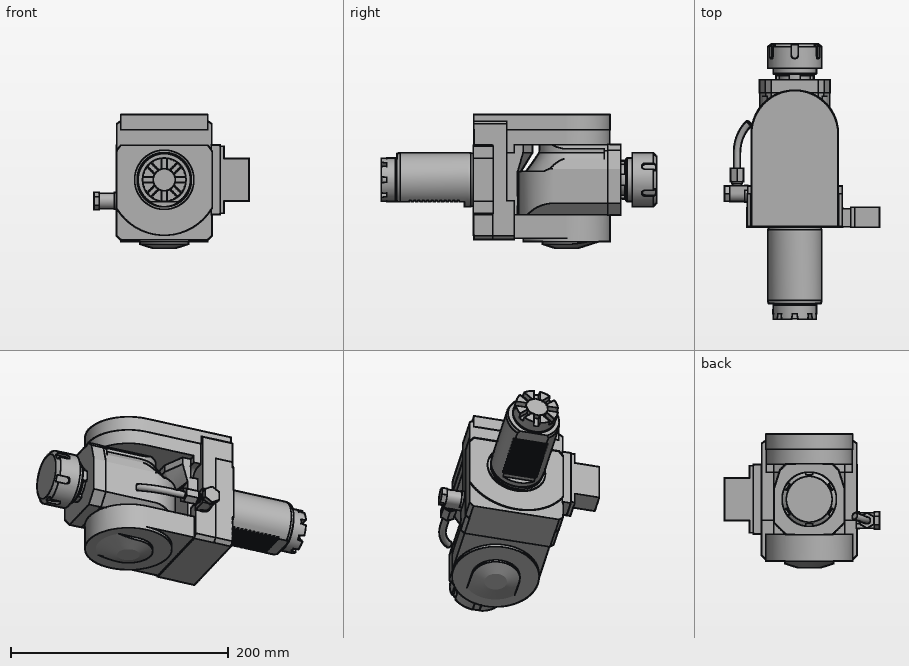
import cadquery as cq


shank_dia = 50.0
shank_root_dia = 48.7
shank_root_end = -2.0
shank_root_taper_end = -4.0
shank_taper_dia = 49.4
shank_end = -70.0
shank_chamfer = 1.0
shank_chamfer_length = 3.0
collar_end = -8.0
rack_flat_z = -20.3
rack_pitch = 4.0
rack_groove_count = 12
rack_first_groove = -13.6
rack_groove_depth = 1.2
rack_groove_width = 2.4
seal_groove_dia = 54.5
seal_groove_depth = 1.0
end_ring_dia = 40.0
end_neck_dia = 38.5
end_ring_start = -71.3
end_ring_end = -84.35
end_plug_dia = 20.3
end_plug_recess = 0.3
end_slot_count = 8
end_slot_mouth = 5.6
end_slot_floor = 4.4
end_slot_depth = 5.0

flange_half_width = 44.0
flange_bottom = -55.0
flange_top = 53.8
flange_chamfer = 3.6
flange_top_chamfer_height = 2.6
flange_depth = 31.0
front_plate_depth = 18.0
front_plate_top = 31.6
face_relief = 0.9
side_relief = 0.2
disc_radius = 51.0
rear_step_depth = 38.0
joint_overlap = 1.0

arm_width = 80.0
arm_inset = 0.3
arm_axis_y = 86.0
arm_gap_half = 32.0
cover_bottom = 46.0
cover_top = 60.0
cover_front = 0.5
cover_edge_chamfer = 0.4
lower_arm_bottom = -53.8
pivot_plate_bottom = -56.8
wall_depth = 41.0
knuckle_base_z = 7.5
knuckle_shoulder_z = 25.0
knuckle_half_width = 12.0
knuckle_middle_y = (44.0, 54.8)
knuckle_side_y = (41.0, 46.0)
wall_half_width = 32.4
side_recess_radius = 12.0
side_recess_floor_z = 13.0

cap_half_width = 22.4
cap_bottom = -63.0
cap_tip_radius = 10.4
cap_base_radius = 30.0

head_half_width = 32.4
head_axis_y = 74.0
head_front = 135.7
head_flange_back = 123.5
head_side_top = 10.0
head_side_bottom = -21.6
head_knee = (27.0, 27.0)
head_top_half_width = 21.4
head_step = 0.2
clearance_front = 120.5
clearance_top_radius = 25.2
clearance_cone_top_z = 25.0
clearance_base_radius = 37.2
clearance_base_z = 8.0
clearance_reach = 50.0

spindle_dia = 35.4
spindle_neck_dia = 30.0
spindle_neck_length = 3.4
lug_width = 10.5
lug_count = 4
spindle_collar_dia = 40.0
spindle_collar_start = 140.4
spindle_collar_chamfer = 1.1
nut_dia = 50.0
nut_tip_dia = 42.0
nut_start = 146.0
nut_shoulder = 165.7
nut_end = 168.8
nut_slot_count = 6
nut_slot_width = 6.4
nut_slot_start = 155.0
nut_slot_floor_radius = 22.5

fitting_y = 31.0
fitting_z = -19.5
fitting_dia = 14.5
fitting_collar_dia = 15.6
fitting_collar_x = -46.0
fitting_hex_corners = 16.4
fitting_hex_x = -59.7
fitting_tip_x = -64.7
pipe_x = -53.0
pipe_dia = 6.37
pipe_nut_start = 42.0
pipe_nut_end = 54.4
pipe_nut_corners = 14.2
pipe_neck_dia = 8.2
pipe_neck_collar_dia = 9.8
pipe_bend_start = 69.0
pipe_bend_radius = 36.0
pipe_bend_angle = 48.0
pipe_lift_angle = 20.0

key_base_x = 51.3
key_base_half_height = 32.0
key_base_front = 0.5
key_base_depth = 17.2
key_step_x = 55.0
key_step_half_height = 30.8
key_depth = 18.7
key_tip_x = 78.0
key_tip_half_height = 19.6


def box(x_range, y_range, z_range):
    """Axis-aligned box between the given limits."""
    size = [b - a for a, b in (x_range, y_range, z_range)]
    return cq.Workplane("XY").box(*size, centered=False).translate((x_range[0], y_range[0], z_range[0]))


def cylinder_y(dia, y_start, y_end):
    """Cylinder on the Y axis between two Y positions."""
    return cq.Workplane("XZ", origin=(0, y_start, 0)).circle(dia / 2).extrude(y_start - y_end)


def prism_y(points, y_start, y_end):
    """Closed XZ outline extruded from y_start to y_end."""
    return cq.Workplane("XZ", origin=(0, y_start, 0)).polyline(points).close().extrude(y_start - y_end)


def prism_x(points, half_width):
    """Closed YZ outline extruded symmetrically about X = 0."""
    return cq.Workplane("YZ").polyline(points).close().extrude(half_width, both=True)


def mirrored(points):
    """Right-hand outline points followed by their mirror images across the Z axis."""
    return points + [(-x, z) for x, z in reversed(points)]


def make_shank():
    radius = shank_dia / 2
    tip_radius = radius - shank_chamfer
    neck_radius = end_neck_dia / 2
    ring_radius = end_ring_dia / 2
    profile = [
        (0, seal_groove_depth),
        (shank_root_dia / 2, seal_groove_depth),
        (shank_root_dia / 2, shank_root_end),
        (shank_taper_dia / 2, shank_root_end),
        (radius, shank_root_taper_end),
        (radius, shank_end + shank_chamfer_length),
        (tip_radius, shank_end),
        (neck_radius, shank_end),
        (neck_radius, end_ring_start),
        (ring_radius, end_ring_start),
        (ring_radius, end_ring_end),
        (0, end_ring_end),
    ]
    shank = cq.Workplane("XY").polyline(profile).close().revolve(360, (0, 0, 0), (0, 1, 0))
    shank = shank.cut(box((-radius, radius), (shank_end, collar_end), (-shank_dia, rack_flat_z)))
    for i in range(rack_groove_count):
        shank = shank.cut(rack_groove(rack_first_groove - i * rack_pitch))
    plug = cylinder_y(end_plug_dia, end_ring_end, end_ring_end + end_slot_depth)
    for i in range(end_slot_count):
        shank = shank.cut(end_slot(i * 360 / end_slot_count).cut(plug))
    return shank.cut(cylinder_y(end_plug_dia, end_ring_end, end_ring_end + end_plug_recess))


def rack_groove(y):
    """Trapezoidal groove across the rack flat, centred on y."""
    top_z = rack_flat_z + rack_groove_depth
    outline = [
        (y - rack_groove_width / 2, rack_flat_z),
        (y - rack_groove_width / 4, top_z),
        (y + rack_groove_width / 4, top_z),
        (y + rack_groove_width / 2, rack_flat_z),
    ]
    return prism_x(outline, shank_dia / 2)


def end_slot(angle):
    """Radial slot with sloping sides in the end ring."""
    floor_y = end_ring_end + end_slot_depth
    outline = [
        (-end_slot_mouth / 2, end_ring_end),
        (end_slot_mouth / 2, end_ring_end),
        (end_slot_floor / 2, floor_y),
        (-end_slot_floor / 2, floor_y),
    ]
    slot = cq.Workplane("XY").polyline(outline).close().extrude(end_ring_dia)
    return slot.rotate((0, 0, 0), (0, 1, 0), angle)


def flange_slab(half_width, y_start, y_end):
    """Slab with the flange outline, its four corners chamfered."""
    c = flange_chamfer
    outline = mirrored([
        (half_width - c, flange_bottom),
        (half_width, flange_bottom + c),
        (half_width, flange_top - flange_top_chamfer_height),
        (half_width - c, flange_top),
    ])
    return prism_y(outline, y_start, y_end)


def make_flange():
    w = flange_half_width
    inner_w = w - side_relief
    flange = flange_slab(inner_w, face_relief, flange_depth)
    plate_limits = box((-w, w), (0, front_plate_depth), (flange_bottom, front_plate_top))
    front_plate = flange_slab(w, face_relief, front_plate_depth).intersect(plate_limits)
    disc = cylinder_y(2 * disc_radius, 0, front_plate_depth).intersect(plate_limits)
    disc = disc.intersect(flange_slab(w, 0, front_plate_depth))
    below_fitting = box((-w, w), (flange_depth, rear_step_depth), (flange_bottom, fitting_z))
    rear_step = flange_slab(inner_w, flange_depth, rear_step_depth).intersect(below_fitting)
    flange = flange.union(front_plate).union(disc).union(rear_step)
    seal_groove = cylinder_y(seal_groove_dia, 0, seal_groove_depth)
    return flange.cut(seal_groove)


def rounded_slab(radius, y_start, z_bottom, z_top):
    """Slab from y_start with a round +Y end centred on the arm axis."""
    outline = (
        cq.Workplane("XY", origin=(0, 0, z_bottom))
        .moveTo(-radius, y_start)
        .lineTo(radius, y_start)
        .lineTo(radius, arm_axis_y)
        .threePointArc((0, arm_axis_y + radius), (-radius, arm_axis_y))
        .close()
    )
    return outline.extrude(z_top - z_bottom)


def make_fork():
    radius = arm_width / 2
    cover = rounded_slab(radius, cover_front, cover_bottom, cover_top)
    cover = cover.faces(">Z").edges().chamfer(cover_edge_chamfer)
    upper_arm = rounded_slab(radius - arm_inset, flange_depth, arm_gap_half, cover_bottom)
    lower_arm = rounded_slab(radius, flange_depth, lower_arm_bottom, -arm_gap_half)
    pivot_plate = (
        cq.Workplane("XY", origin=(0, arm_axis_y, pivot_plate_bottom))
        .circle(radius)
        .extrude(lower_arm_bottom - pivot_plate_bottom)
    )
    return cover.union(upper_arm).union(lower_arm).union(pivot_plate).union(make_wall())


def make_wall():
    """Back wall between the arms, with shoulders, a rounded side recess and an overhanging knuckle."""
    w = wall_half_width
    wall = box((-w, w), (flange_depth, wall_depth), (-arm_gap_half, arm_gap_half))
    recess = (
        cq.Workplane("XZ", origin=(-w, flange_depth, side_recess_floor_z))
        .circle(side_recess_radius)
        .extrude(flange_depth - rear_step_depth)
    )
    recess_top = side_recess_floor_z + side_recess_radius
    recess_limits = box((-2 * w, 0), (flange_depth, rear_step_depth), (side_recess_floor_z, recess_top))
    recess = recess.intersect(recess_limits)
    arm_half_width = arm_width / 2 - arm_inset
    arm_x = (-arm_half_width, arm_half_width)
    shoulder = box(arm_x, (flange_depth, rear_step_depth), (recess_top, arm_gap_half))
    middle_w = knuckle_half_width
    wall = wall.union(knuckle_part(-w, -middle_w, knuckle_side_y, knuckle_middle_y))
    wall = wall.union(knuckle_part(-middle_w, middle_w, knuckle_middle_y, knuckle_middle_y))
    wall = wall.union(knuckle_part(middle_w, w, knuckle_middle_y, knuckle_side_y))
    return wall.cut(recess).union(shoulder)


def knuckle_part(x_start, x_end, y_start, y_end):
    """Stretch of the knuckle whose (base, shoulder) Y positions change from y_start to y_end."""
    return (
        cq.Workplane("YZ", origin=(x_start, 0, 0))
        .polyline(knuckle_outline(*y_start))
        .close()
        .workplane(offset=x_end - x_start)
        .polyline(knuckle_outline(*y_end))
        .close()
        .loft(ruled=True)
    )


def knuckle_outline(base_y, shoulder_y):
    """YZ section of the knuckle, rooted inside the wall."""
    return [
        (rear_step_depth, knuckle_base_z),
        (base_y, knuckle_base_z),
        (shoulder_y, knuckle_shoulder_z),
        (shoulder_y, arm_gap_half),
        (rear_step_depth, arm_gap_half),
    ]


def make_pivot_cap():
    """Shallow cone trimmed to a slot-shaped outline that runs out towards +Y."""
    cone = (
        cq.Workplane("XZ")
        .polyline([
            (0, pivot_plate_bottom),
            (cap_base_radius, pivot_plate_bottom),
            (cap_tip_radius, cap_bottom),
            (0, cap_bottom),
        ])
        .close()
        .revolve(360, (0, 0, 0), (0, 1, 0))
        .translate((0, arm_axis_y, 0))
    )
    round_side = (
        cq.Workplane("XY", origin=(0, arm_axis_y, cap_bottom))
        .circle(cap_half_width)
        .extrude(pivot_plate_bottom - cap_bottom)
    )
    straight_side = box(
        (-cap_half_width, cap_half_width),
        (arm_axis_y, arm_axis_y + cap_base_radius),
        (cap_bottom, pivot_plate_bottom),
    )
    return cone.intersect(round_side.union(straight_side))


def head_outline(inset):
    """Head cross-section, moved inwards by inset on its flat sides."""
    side = head_half_width - inset
    return mirrored([
        (head_top_half_width, -side),
        (side, head_side_bottom),
        (side, head_side_top),
        (head_knee[0] - inset, head_knee[1] - inset),
        (head_top_half_width, side),
    ])


def make_head():
    radius = head_half_width - head_step
    plan = (
        cq.Workplane("XY", origin=(0, 0, -head_half_width))
        .moveTo(-radius, head_flange_back)
        .lineTo(-radius, head_axis_y)
        .threePointArc((0, head_axis_y - radius), (radius, head_axis_y))
        .lineTo(radius, head_flange_back)
        .close()
        .extrude(2 * head_half_width)
    )
    head = prism_y(head_outline(head_step), head_axis_y - radius, head_flange_back).intersect(plan)
    head = head.cut(make_arm_clearance())
    return head.union(prism_y(head_outline(0), head_flange_back, head_front))


def make_arm_clearance():
    """Clearance around the upper arm: turned about the arm axis, running straight towards +Y."""
    profile = [
        (clearance_top_radius, head_half_width),
        (clearance_top_radius, clearance_cone_top_z),
        (clearance_base_radius, clearance_base_z),
        (clearance_reach, clearance_base_z),
        (clearance_reach, head_half_width),
    ]
    clearance = (
        cq.Workplane("XZ")
        .polyline(profile)
        .close()
        .revolve(180, (0, 0, 0), (0, -1, 0))
        .translate((0, arm_axis_y, 0))
    )
    for side in (-1, 1):
        straight = prism_y([(side * x, z) for x, z in profile], arm_axis_y, clearance_front)
        clearance = clearance.union(straight)
    return clearance


def make_spindle():
    neck_end = head_front + spindle_neck_length
    spindle = cylinder_y(spindle_neck_dia, head_front, neck_end)
    blank = cylinder_y(spindle_dia, head_front, neck_end)
    reach = spindle_dia / 2
    for i in range(lug_count):
        lug = box((-lug_width / 2, lug_width / 2), (head_front, neck_end), (0, reach))
        lug = lug.rotate((0, 0, 0), (0, 1, 0), i * 360 / lug_count)
        spindle = spindle.union(lug.intersect(blank))
    spindle = spindle.union(cylinder_y(spindle_dia, neck_end, spindle_collar_start))
    collar = cylinder_y(spindle_collar_dia, spindle_collar_start, nut_start)
    return spindle.union(collar.faces("<Y").edges().chamfer(spindle_collar_chamfer))


def make_nut():
    radius = nut_dia / 2
    profile = [
        (0, nut_start),
        (radius, nut_start),
        (radius, nut_shoulder),
        (nut_tip_dia / 2, nut_end),
        (0, nut_end),
    ]
    nut = cq.Workplane("XY").polyline(profile).close().revolve(360, (0, 0, 0), (0, 1, 0))
    half = nut_slot_width / 2
    slot_base = (
        cq.Workplane("XY", origin=(0, 0, nut_slot_floor_radius))
        .moveTo(-half, nut_end)
        .lineTo(-half, nut_slot_start + half)
        .threePointArc((0, nut_slot_start), (half, nut_slot_start + half))
        .lineTo(half, nut_end)
        .close()
        .extrude(radius - nut_slot_floor_radius)
    )
    for i in range(nut_slot_count):
        nut = nut.cut(slot_base.rotate((0, 0, 0), (0, 1, 0), i * 360 / nut_slot_count))
    return nut


def make_fitting():
    """Elbow body along X, square on its +Y side, with a hexagonal head on its outer end."""
    plane = cq.Workplane("YZ", origin=(-flange_half_width + joint_overlap, fitting_y, fitting_z))
    start_x = plane.plane.origin.x
    body = plane.circle(fitting_dia / 2).extrude(fitting_hex_x - start_x)
    collar = plane.circle(fitting_collar_dia / 2).extrude(fitting_collar_x - start_x)
    hex_head = (
        cq.Workplane("YZ", origin=(fitting_hex_x, fitting_y, fitting_z))
        .transformed(rotate=(0, 0, 90))
        .polygon(6, fitting_hex_corners)
        .extrude(fitting_tip_x - fitting_hex_x)
    )
    radius = fitting_dia / 2
    square_side = box(
        (fitting_hex_x, start_x),
        (fitting_y, fitting_y + radius),
        (fitting_z - radius, fitting_z + radius),
    )
    return body.union(collar).union(square_side).union(hex_head)


def make_pipe():
    """Pipe nut and bent coolant pipe leaving the elbow towards +Y."""
    base = cq.Workplane("XZ", origin=(pipe_x, fitting_y, fitting_z))
    neck = base.circle(pipe_neck_dia / 2).extrude(fitting_y - pipe_nut_start)
    neck_middle = (rear_step_depth + pipe_nut_start) / 2
    neck_collar = (
        cq.Workplane("XZ", origin=(pipe_x, neck_middle, fitting_z))
        .circle(pipe_neck_collar_dia / 2)
        .extrude(neck_middle - pipe_nut_start)
    )
    nut = (
        cq.Workplane("XZ", origin=(pipe_x, pipe_nut_start, fitting_z))
        .transformed(rotate=(0, 0, 90))
        .polygon(6, pipe_nut_corners)
        .extrude(pipe_nut_start - pipe_nut_end)
    )
    straight = (
        cq.Workplane("XZ", origin=(pipe_x, pipe_nut_end, fitting_z))
        .circle(pipe_dia / 2)
        .extrude(pipe_nut_end - pipe_bend_start)
    )
    bend_plane = cq.Workplane("XZ", origin=(pipe_x, pipe_bend_start, fitting_z))
    bend = (
        bend_plane.circle(pipe_dia / 2)
        .revolve(pipe_bend_angle, (pipe_bend_radius, 1, 0), (pipe_bend_radius, 0, 0))
        .rotate((pipe_x, 0, fitting_z), (pipe_x, 1, fitting_z), -pipe_lift_angle)
    )
    return neck.union(neck_collar).union(nut).union(straight).union(bend)


def make_key():
    inner_x = flange_half_width - joint_overlap
    base_height = (-key_base_half_height, key_base_half_height)
    base = box((inner_x, key_base_x), (key_base_front, key_base_depth), base_height)
    step = box((key_base_x, key_step_x), (0, key_depth), (-key_step_half_height, key_step_half_height))
    tip = box((key_step_x, key_tip_x), (0, key_depth), (-key_tip_half_height, key_tip_half_height))
    return base.union(step).union(tip)


result = make_flange()
for piece in (
    make_fork(),
    make_shank(),
    make_pivot_cap(),
    make_head(),
    make_spindle(),
    make_nut(),
    make_fitting(),
    make_pipe(),
    make_key(),
):
    result = result.union(piece)